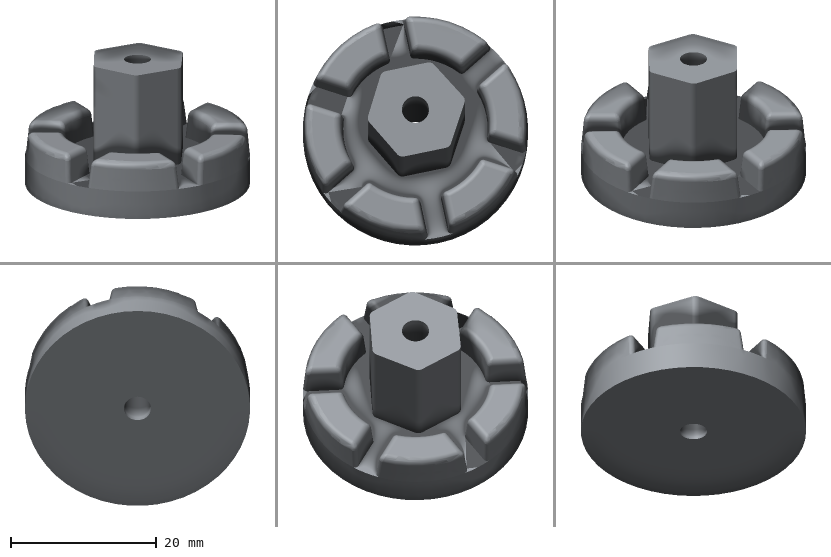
import cadquery as cq
import math

disc_diameter = 30.9
disc_height = 4.0
total_height = 17.9

hex_across_flats = 12.2
hex_corner_radius = 1.0
hex_front_tip_setback = 0.25
hex_front_shoulder_setback = 0.05
bore_diameter = 3.7

lug_count = 6
lug_height = 4.0
lug_inner_radius = 9.92
lug_gap = 2.85
lug_draft = 5.0
lug_corner_radius = 0.55
lug_top_radius = 1.0

disc_radius = disc_diameter / 2
lug_pitch = 360.0 / lug_count


def make_disc():
    return cq.Workplane("XY").circle(disc_radius).extrude(disc_height)


def make_post():
    """Post with flats facing +X and -X: a regular hexagon whose two -Y faces are set back slightly."""
    half_width = hex_across_flats / 2
    tip = half_width / math.cos(math.pi / 6)
    shoulder = tip / 2
    front_tip = tip - hex_front_tip_setback
    front_shoulder = shoulder - hex_front_shoulder_setback
    return (
        cq.Workplane("XY")
        .moveTo(0, tip)
        .lineTo(half_width, shoulder)
        .lineTo(half_width, -front_shoulder)
        .lineTo(0, -front_tip)
        .lineTo(-half_width, -front_shoulder)
        .lineTo(-half_width, shoulder)
        .close()
        .extrude(total_height)
        .edges("|Z")
        .fillet(hex_corner_radius)
    )


def spans_lug_height(edge):
    """True for the steep edges that climb from the foot of a lug to its top."""
    return edge.BoundingBox().zlen > lug_height / 2


def make_lug():
    """Ring segment centred on +X, drafted on all sides, with rounded uprights and top rim."""
    draft_inset = lug_height * math.tan(math.radians(lug_draft))
    lug_top = disc_height + lug_height
    drafted_ring = (
        cq.Workplane("XZ")
        .moveTo(lug_inner_radius, disc_height)
        .lineTo(disc_radius, disc_height)
        .lineTo(disc_radius - draft_inset, lug_top)
        .lineTo(lug_inner_radius + draft_inset, lug_top)
        .close()
        .revolve(360, (0, 0), (0, 1))
    )
    half_pitch = math.radians(lug_pitch / 2)
    wedge_tip = lug_gap / 2 / math.sin(half_pitch)
    wedge_end = disc_diameter
    wedge_half_width = (wedge_end - wedge_tip) * math.tan(half_pitch)
    drafted_wedge = (
        cq.Workplane("XY")
        .workplane(offset=disc_height)
        .moveTo(wedge_tip, 0)
        .lineTo(wedge_end, -wedge_half_width)
        .lineTo(wedge_end, wedge_half_width)
        .close()
        .extrude(lug_height, taper=lug_draft)
    )
    lug = drafted_ring.intersect(drafted_wedge)
    uprights = lug.edges().filter(spans_lug_height)
    return uprights.fillet(lug_corner_radius).faces(">Z").edges().fillet(lug_top_radius)


result = make_disc().union(make_post())

lug = make_lug()
for index in range(lug_count):
    lug_angle = lug_pitch * (index + 0.5)
    result = result.union(lug.rotate((0, 0, 0), (0, 0, 1), lug_angle))

bore = cq.Workplane("XY").circle(bore_diameter / 2).extrude(total_height)
result = result.cut(bore)